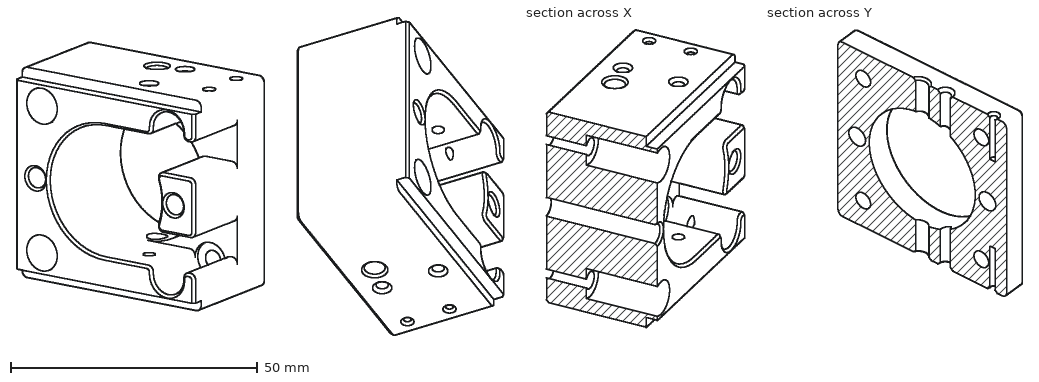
import cadquery as cq
import math

size = 44.45
depth = 25.4
half = size / 2
corner_radius = 1.35
edge_chamfer = 0.6

rebate_depth = 2.55
rebate_height = 2.25
rebate_edge = half - rebate_height

bore_radius = 13.85
pocket_depth = 15.25
pocket_fillet = 1.3

screw_offset = 15.5
screw_radius = 1.85
screw_head_radius = 3.8
screw_seat_below_floor = 1.0
screw_seat = pocket_depth + screw_seat_below_floor

island_half_height = 6.3

pin_offset = 17.1
pin_radius = 2.15
pin_chamfer = 0.55

wall_holes = [
    (0.0, 18.55, 2.15, 0.55),
    (6.05, 19.82, 1.25, 0.7),
    (6.05, 7.15, 1.25, 0.7),
    (18.45, 20.22, 0.75, 0.6),
    (18.45, 10.7, 0.75, 0.6),
]
wall_hole_depth = 11.1

edge_tolerance = 0.05

into_front = cq.Vector(0, 1, 0)


def cylinder_y(x, z, radius, start, end):
    """Cylinder along Y between two depths."""
    return cq.Workplane(cq.Solid.makeCylinder(radius, end - start, cq.Vector(x, start, z), into_front))


def box_between(x0, x1, y0, y1, z0, z1):
    """Box given by its limits along each axis."""
    return cq.Workplane("XY").box(x1 - x0, y1 - y0, z1 - z0, centered=False).translate((x0, y0, z0))


def countersunk_hole(start, direction, radius, sink, length):
    """Straight hole with a 45 degree countersink at its mouth."""
    shaft = cq.Solid.makeCylinder(radius, length, start, direction)
    mouth = cq.Solid.makeCone(radius + sink, radius, sink, start, direction)
    return cq.Workplane(shaft.fuse(mouth))


def make_block():
    """Block with rounded X-Z corners and a chamfered back outline."""
    block = box_between(-half, half, 0, depth, -half, half)
    block = block.edges("|Y").fillet(corner_radius)
    return block.faces(">Y").chamfer(edge_chamfer)


def make_pocket():
    """Volume of the front pocket, with the island left out of it."""
    pocket = cylinder_y(0, 0, bore_radius, 0, pocket_depth)
    pocket = pocket.union(box_between(0, half, 0, pocket_depth, -bore_radius, bore_radius))
    for side in (-1, 1):
        pocket = pocket.union(cylinder_y(screw_offset, side * screw_offset, screw_head_radius, 0, pocket_depth))
    lobe_left = screw_offset - screw_head_radius
    lobe_right = screw_offset + screw_head_radius
    pocket = pocket.union(box_between(lobe_left, lobe_right, 0, pocket_depth, -screw_offset, screw_offset))
    island = box_between(0, half, 0, pocket_depth, -island_half_height, island_half_height)
    island = island.cut(cylinder_y(0, 0, bore_radius, 0, pocket_depth))
    return pocket.cut(island)


def round_pocket_corners(body):
    """Round the upright corners of the lobes, the pocket mouth and the island."""
    island_tip = math.sqrt(bore_radius**2 - island_half_height**2)
    corners = [
        (screw_offset - screw_head_radius, bore_radius),
        (screw_offset + screw_head_radius, bore_radius),
        (half, bore_radius),
        (island_tip, island_half_height),
        (half, island_half_height),
    ]
    for x, z in corners:
        for side in (-1, 1):
            corner = cq.selectors.NearestToPointSelector((x, pocket_depth / 2, side * z))
            body = body.edges("|Y").edges(corner).fillet(pocket_fillet)
    return body


def cut_rebates(body):
    """Step back the front along the top and bottom sides."""
    top_bar = box_between(-half, half, 0, rebate_depth, rebate_edge, half)
    return body.cut(top_bar).cut(top_bar.mirror("XY"))


def chamfer_front(body):
    """Break every front edge except the two along the rebates."""
    front = cq.selectors.DirectionMinMaxSelector(into_front, False)
    broken_edges = front
    for side in (-1, 1):
        low = (-half, -edge_tolerance, side * rebate_edge - edge_tolerance)
        high = (half, edge_tolerance, side * rebate_edge + edge_tolerance)
        broken_edges = broken_edges - cq.selectors.BoxSelector(low, high)
    return body.faces(front).edges(broken_edges).chamfer(edge_chamfer)


def drill_screw_holes(body):
    """Four corner screw holes; the heads on the +X side sink below the pocket floor."""
    for x_side, head_start in ((-1, 0), (1, pocket_depth)):
        for z_side in (-1, 1):
            x = x_side * screw_offset
            z = z_side * screw_offset
            body = body.cut(cylinder_y(x, z, screw_radius, 0, depth))
            body = body.cut(cylinder_y(x, z, screw_head_radius, head_start, screw_seat))
    return body


def drill_pin_holes(body):
    """Two through holes level with the bore centre, countersunk at the front."""
    for side in (-1, 1):
        mouth = cq.Vector(side * pin_offset, 0, 0)
        body = body.cut(countersunk_hole(mouth, into_front, pin_radius, pin_chamfer, depth))
    return body


def drill_wall_holes(body):
    """The same set of holes in the top and bottom faces."""
    for x, y, radius, sink in wall_holes:
        for side in (-1, 1):
            mouth = cq.Vector(x, y, side * half)
            inward = cq.Vector(0, 0, -side)
            body = body.cut(countersunk_hole(mouth, inward, radius, sink, wall_hole_depth))
    return body


body = make_block().cut(make_pocket())
body = round_pocket_corners(body)
body = cut_rebates(body)
body = chamfer_front(body)
body = body.cut(cylinder_y(0, 0, bore_radius, 0, depth))
body = drill_screw_holes(body)
body = drill_pin_holes(body)
result = drill_wall_holes(body)